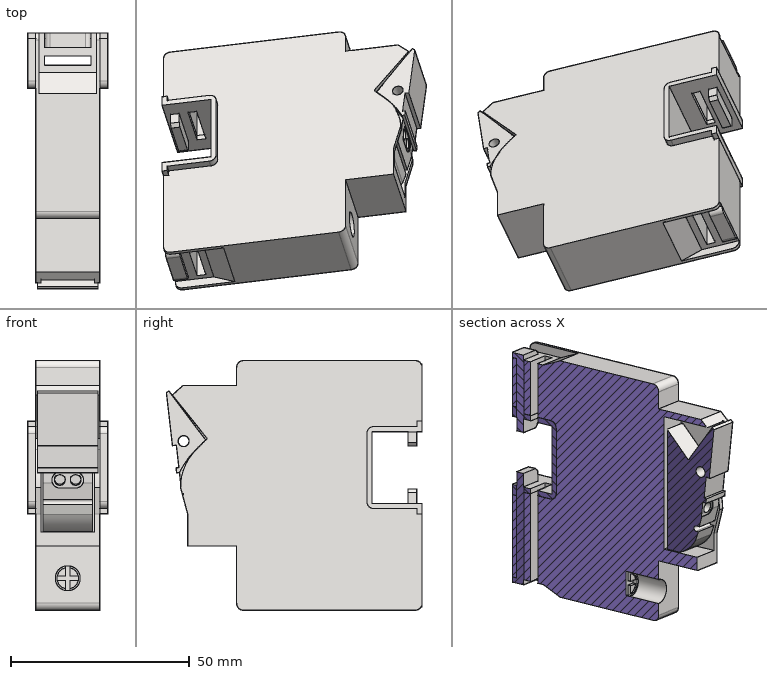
import cadquery as cq
import math


housing_width = 18
housing_height = 70
housing_depth = 52
corner_radius = 2
nose_depth = 70
nose_top = 63
nose_bottom = 18
nose_chamfer_start = 67
nose_front_depth = 65.7
nose_front_top = 27

seat_tip = (60.2, 48.1)
seat_top = 60.3
seat_radius = 15
seat_arc_start = (63.3, sum(seat_tip) - 63.3)
seat_angle = math.radians(45)
sin45 = math.sin(seat_angle)
seat_center = (seat_arc_start[0] - seat_radius * sin45, seat_arc_start[1] - seat_radius * sin45)
seat_front = (seat_center[0] + seat_radius, seat_center[1])

cavity_width = 15
cavity_back = 54
cavity_bottom = 22
cavity_top = 61

screw_height = 9
screw_hole_diameter = 7
screw_hole_depth = 10
screw_floor_diameter = 6
screw_floor_depth = 0.5
cross_slot_width = 1.3
cross_slot_depth = 1

rail_width = 22.5
rail_center_height = 40
rail_depth = 15.5
rail_thickness = 1.5
rail_outer_height = 23
rail_flange_height = rail_outer_height + 2 * rail_thickness
rail_inner_height = rail_outer_height - 2 * rail_thickness
rail_bend_radius = 2

latch_width = 13
latch_back = 1.5
latch_front = 4
latch_reach = 4
latch_tip_chamfer = 1
grip_height = 1.5
pocket_width = 16
pocket_drop = 2.5
pocket_floor_length = 11
pocket_ramp_end = 17
slot_back = 6.5
slot_front = 9

lever_width = 17
lever_tilt = math.radians(6.5)
lever_front_depth = 71.65
lever_front_height = 60.9
lever_crest = (70.95, 61.5)
lever_tip = (60.65, 47.75)
lever_arc_start = (63.4, sum(lever_tip) - 63.4)
lever_step_height = 46.1
lever_step = 1.1
lip_top = 39.9
lip_bottom = 38.45
lip_projection = 0.8
pivot_diameter = 3
pivot_center = (66.8, 47.4)

body_width = 14
body_back = 55
body_clearance = 0.1
body_bottom = cavity_bottom + body_clearance
body_top_start = (62.4, 50.2)
crease_height = 35.55
lower_face_slope = (seat_front[0] - nose_front_depth) / (seat_front[1] - nose_front_top)
groove_roof = 31.1
groove_radius = 0.75
groove_center_depth = 65.3
grip_edge_top_depth = 66.1
grip_edge_bottom = (65.1, 26.8)
underside_middle = (62.7, 24)
underside_back = 59.5

indicator_spacing = 4.4
indicator_diameter = 3
indicator_depth = 3
indicator_height = 36.35
indicator_recess_diameter = 4.5
indicator_recess_depth = 0.3


def side(depth, height):
    """Point of a side outline on the YZ plane."""
    return (-depth, height)


def side_points(points):
    return [side(depth, height) for depth, height in points]


def spread(outline, width):
    """Extrude a closed side outline evenly to both sides of the middle plane."""
    return outline.extrude(width / 2, both=True)


def block(width, back, front, bottom, top):
    """Box centred on X between two depths and two heights."""
    size = (width, front - back, top - bottom)
    return cq.Workplane("XY").box(*size).translate((0, -(back + front) / 2, (bottom + top) / 2))


def place_on_end(shape, upper):
    """Leave a shape at the top end of the housing, or mirror it to the bottom end."""
    if upper:
        return shape
    return shape.mirror("XY", (0, 0, housing_height / 2))


def rail_envelope():
    """Filled outer shape of the rail, also cut from the housing as its groove."""
    half_flange = rail_flange_height / 2
    half_outer = rail_outer_height / 2
    outline = [
        (0, rail_center_height + half_flange),
        (rail_thickness, rail_center_height + half_flange),
        (rail_thickness, rail_center_height + half_outer),
        (rail_depth, rail_center_height + half_outer),
        (rail_depth, rail_center_height - half_outer),
        (rail_thickness, rail_center_height - half_outer),
        (rail_thickness, rail_center_height - half_flange),
        (0, rail_center_height - half_flange),
    ]
    solid = spread(cq.Workplane("YZ").polyline(side_points(outline)).close(), rail_width)
    return solid.faces("<Y").edges("|X").fillet(rail_bend_radius)


def latch_leg_space():
    return block(latch_width, latch_back, latch_front, 0, housing_height)


def through_slot():
    return block(latch_width, slot_back, slot_front, 0, housing_height)


def make_rail():
    half_inner = rail_inner_height / 2
    channel = block(
        rail_width,
        0,
        rail_depth - rail_thickness,
        rail_center_height - half_inner,
        rail_center_height + half_inner,
    )
    return rail_envelope().cut(channel).cut(latch_leg_space()).cut(through_slot())


def latch_pocket(upper):
    floor = housing_height - pocket_drop
    outline = [
        (0, floor),
        (pocket_floor_length, floor),
        (pocket_ramp_end, housing_height),
        (0, housing_height),
    ]
    pocket = spread(cq.Workplane("YZ").polyline(side_points(outline)).close(), pocket_width)
    return place_on_end(pocket, upper)


def make_latch(upper):
    """Grip in the pocket with a leg that passes the rail and ends in a chamfered tip."""
    floor = housing_height - pocket_drop
    if upper:
        tip = rail_center_height + rail_inner_height / 2 - latch_reach
    else:
        tip = housing_height - (rail_center_height - rail_inner_height / 2 + latch_reach)
    half = latch_width / 2
    grip_top = floor + grip_height
    flat_half = half - grip_height
    grip = (
        cq.Workplane("XZ")
        .moveTo(-half, floor)
        .lineTo(half, floor)
        .radiusArc((flat_half, grip_top), -grip_height)
        .lineTo(-flat_half, grip_top)
        .radiusArc((-half, floor), -grip_height)
        .close()
        .extrude(latch_front)
    )
    leg = block(latch_width, latch_back, latch_front, tip, floor)
    leg = leg.faces("<Z").edges("|Y").chamfer(latch_tip_chamfer)
    return place_on_end(grip.union(leg), upper)


def screw_recess():
    """Bore with a smaller stepped floor and a crossed screwdriver slot in it."""
    front = cq.Workplane("XZ", origin=(0, -housing_depth, screw_height))
    floor_depth = screw_hole_depth + screw_floor_depth
    slot_end = floor_depth + cross_slot_depth
    bore = front.circle(screw_hole_diameter / 2).extrude(-screw_hole_depth)
    step = front.circle(screw_floor_diameter / 2).extrude(-floor_depth)
    upright = front.rect(cross_slot_width, screw_hole_diameter).extrude(-slot_end)
    level = front.rect(screw_floor_diameter, cross_slot_width).extrude(-slot_end)
    reach = front.circle(screw_hole_diameter / 2).extrude(-slot_end)
    return bore.union(step).union(upright.union(level).intersect(reach))


def make_housing():
    back_part = block(housing_width, 0, housing_depth, 0, housing_height)
    back_part = back_part.edges("|X").fillet(corner_radius)
    half_seat_angle = seat_angle / 2
    seat_arc_middle = (
        seat_center[0] + seat_radius * math.cos(half_seat_angle),
        seat_center[1] + seat_radius * math.sin(half_seat_angle),
    )
    nose = (
        cq.Workplane("YZ")
        .moveTo(*side(housing_depth / 2, nose_bottom))
        .lineTo(*side(nose_front_depth, nose_bottom))
        .lineTo(*side(nose_front_depth, nose_front_top))
        .lineTo(*side(*seat_front))
        .threePointArc(side(*seat_arc_middle), side(*seat_arc_start))
        .lineTo(*side(*seat_tip))
        .lineTo(*side(nose_depth, seat_top))
        .lineTo(*side(nose_chamfer_start, nose_top))
        .lineTo(*side(housing_depth / 2, nose_top))
        .close()
    )
    housing = back_part.union(spread(nose, housing_width))
    housing = housing.cut(block(cavity_width, cavity_back, nose_depth, cavity_bottom, cavity_top))
    housing = housing.cut(screw_recess())
    housing = housing.cut(rail_envelope()).cut(latch_leg_space()).cut(through_slot())
    for upper in (True, False):
        housing = housing.cut(latch_pocket(upper))
    return housing


def lever_front(height, inset=0.0):
    """Point on the tilted lever front, moved back square to it by the inset."""
    depth = lever_front_depth - (lever_front_height - height) * math.tan(lever_tilt)
    return (depth - inset * math.cos(lever_tilt), height + inset * math.sin(lever_tilt))


def make_lever():
    lip_inset = lever_step - lip_projection
    outline = [
        lever_front(lip_bottom, lever_step),
        lever_front(lip_bottom, lip_inset),
        lever_front(lip_top, lip_inset),
        lever_front(lip_top, lever_step),
        lever_front(lever_step_height, lever_step),
        lever_front(lever_step_height),
        lever_front(lever_front_height),
        lever_crest,
        lever_tip,
        lever_arc_start,
    ]
    lever = (
        cq.Workplane("YZ")
        .polyline(side_points(outline))
        .tangentArcPoint(side(*outline[0]), relative=False)
        .close()
    )
    return spread(lever, lever_width)


def make_carrier_body():
    crease = lever_front(crease_height, lever_step)
    roof_front = crease[0] - (crease[1] - groove_roof) * lower_face_slope
    groove_floor = groove_roof - 2 * groove_radius
    groove_middle = (groove_center_depth - groove_radius, groove_roof - groove_radius)
    body = (
        cq.Workplane("YZ")
        .moveTo(*side(*body_top_start))
        .lineTo(*side(*lever_front(lip_top, lever_step)))
        .lineTo(*side(*crease))
        .lineTo(*side(roof_front, groove_roof))
        .lineTo(*side(groove_center_depth, groove_roof))
        .threePointArc(side(*groove_middle), side(groove_center_depth, groove_floor))
        .lineTo(*side(grip_edge_top_depth, groove_floor))
        .lineTo(*side(*grip_edge_bottom))
        .threePointArc(side(*underside_middle), side(underside_back, body_bottom))
        .lineTo(*side(body_back, body_bottom))
        .lineTo(*side(body_back, sum(body_top_start) - body_back))
        .close()
    )
    return spread(body, body_width)


def indicator_recess():
    """Shallow rounded recess with two round holes, square to the tilted front of the body."""
    depth, height = lever_front(indicator_height, lever_step)
    plane = cq.Plane(
        origin=(0, -depth, height),
        xDir=(1, 0, 0),
        normal=(0, -math.cos(lever_tilt), -math.sin(lever_tilt)),
    )
    length = indicator_spacing + indicator_recess_diameter
    recess = cq.Workplane(plane).slot2D(length, indicator_recess_diameter).extrude(-indicator_recess_depth)
    centers = [(-indicator_spacing / 2, 0), (indicator_spacing / 2, 0)]
    holes = cq.Workplane(plane).pushPoints(centers).circle(indicator_diameter / 2).extrude(-indicator_depth)
    return recess.union(holes)


def make_carrier():
    pivot = cq.Workplane("YZ").center(*side(*pivot_center)).circle(pivot_diameter / 2)
    carrier = make_lever().union(make_carrier_body())
    return carrier.cut(spread(pivot, lever_width)).cut(indicator_recess())


housing = make_housing()
rail = make_rail()
carrier = make_carrier()
latches = [make_latch(upper) for upper in (True, False)]

result = cq.Compound.makeCompound(
    [housing.val(), rail.val(), carrier.val(), *[latch.val() for latch in latches]]
)